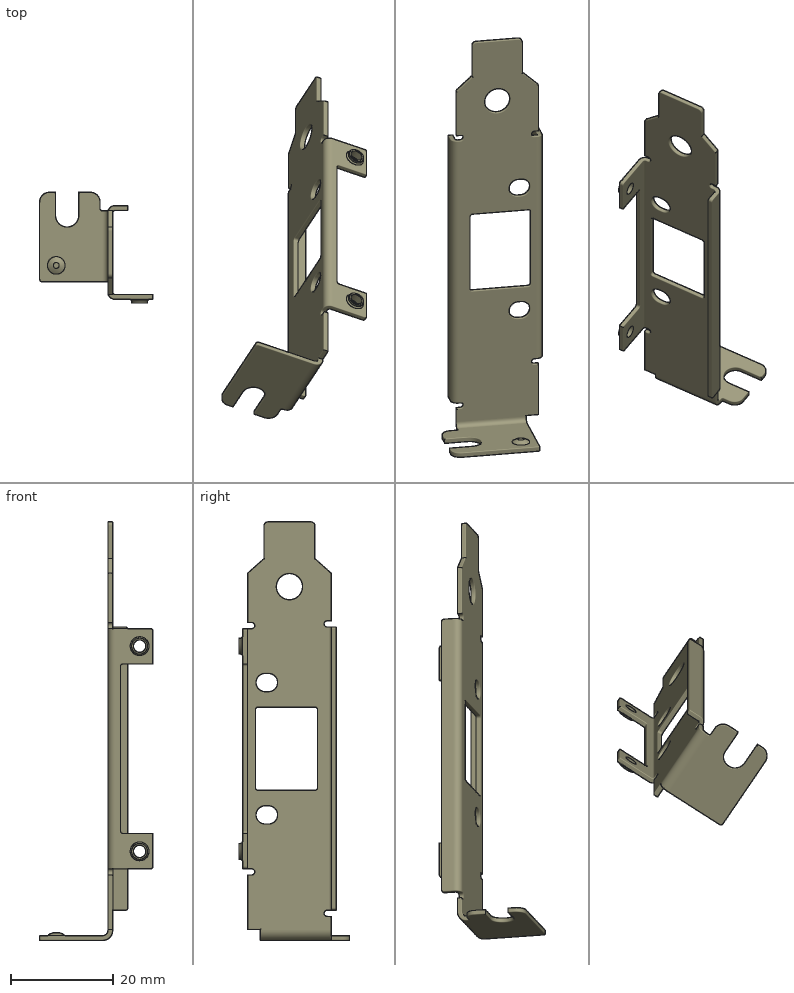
import cadquery as cq
import math

HEIGHT = 81.9
SHEET = 1.0
WALL_X = 13.35
WALL_BACK = WALL_X + SHEET
CORNER_RADIUS = 0.5
DIAGONAL = math.sqrt(0.5)
TOLERANCE = 0.01
EDGE_ROUND = 0.2

SHOULDER_HALF = 8.2
TONGUE_HALF = 5.0
WALL_BOTTOM_Z = 2.1
TONGUE_RADIUS = 0.8
SHOULDER_Z = 71.8
TONGUE_Z = 74.7
SCREW_HOLE_DIA = 5.1
SCREW_HOLE_Z = 69.2

PORT_Z = 37.5
WINDOW_HEIGHT = 16.2
WINDOW_LEFT = 5.5
WINDOW_RIGHT = -6.6
INDICATOR_Y = -4.4
INDICATOR_OFFSET = 12.95
INDICATOR_LENGTH = 4.2
INDICATOR_HEIGHT = 3.5

FLANGE_HALF = 9.2
FLANGE_BEND = 1.4
FLAT_HALF = FLANGE_HALF - FLANGE_BEND
STIFFENER_Z = (5.9, 61.35)
STIFFENER_END_X = 17.3
MOUNT_Z = (14.0, 61.0)
MOUNT_EDGE_X = 15.8
TAB_END_X = 22.2
TAB_HEIGHT = 7.0
RELIEF_WIDTH = 1.15
RELIEF_DEPTH = 1.4

COLLAR_X = 19.6
COLLAR_OFFSET = 20.1
COLLAR_HOLE_DIA = 2.4
COLLAR_DIA = 3.1
COLLAR_BASE_DIA = 3.7
COLLAR_HEIGHT = 0.7
COLLAR_TAPER_HEIGHT = 0.3

FOOT_BEND = 2.0
FOOT_BACK_Y = 11.8
FOOT_FRONT_Y = -5.7
FOOT_EAR_X = 11.9
EAR_RADIUS = 2.0
EAR_NECK_RADIUS = 0.3
SLOT_X = 5.4
SLOT_WIDTH = 4.5
SLOT_END_Y = 5.0
DIMPLE_X = 3.3
DIMPLE_Y = -2.5
DIMPLE_DIA = 3.4
DIMPLE_TOP_DIA = 1.15
DIMPLE_MID_DIA = 2.45
DIMPLE_MID_HEIGHT = 0.3
DIMPLE_HEIGHT = 0.6


def box(x_range, y_range, z_range):
    """Box between the given limits."""
    sizes = [high - low for low, high in (x_range, y_range, z_range)]
    corner = (x_range[0], y_range[0], z_range[0])
    return cq.Workplane("XY").box(*sizes, centered=False).translate(corner)


def wall_plane():
    """YZ plane on the outer face of the wall."""
    return cq.Workplane("YZ", origin=(WALL_X, 0, 0))


def make_wall():
    """Flat wall with the tapered shoulders and the narrow upper tongue."""
    outline = [
        (-SHOULDER_HALF, WALL_BOTTOM_Z),
        (FOOT_FRONT_Y, WALL_BOTTOM_Z),
        (FOOT_FRONT_Y, FOOT_BEND),
        (SHOULDER_HALF, FOOT_BEND),
        (SHOULDER_HALF, SHOULDER_Z),
        (TONGUE_HALF, TONGUE_Z),
        (TONGUE_HALF, HEIGHT),
        (-TONGUE_HALF, HEIGHT),
        (-TONGUE_HALF, TONGUE_Z),
        (-SHOULDER_HALF, SHOULDER_Z),
    ]
    wall = wall_plane().polyline(outline).close().extrude(SHEET)
    return wall.edges("|X and >Z").fillet(TONGUE_RADIUS)


def make_openings():
    """Screw hole, port window and indicator openings through the wall."""
    openings = wall_plane().center(0, SCREW_HOLE_Z).circle(SCREW_HOLE_DIA / 2).extrude(SHEET)
    window_y = (WINDOW_RIGHT, WINDOW_LEFT)
    window_z = (PORT_Z - WINDOW_HEIGHT / 2, PORT_Z + WINDOW_HEIGHT / 2)
    window = box((WALL_X, WALL_BACK), window_y, window_z)
    openings = openings.union(window.edges("|X").fillet(CORNER_RADIUS))
    indicators = (
        wall_plane()
        .pushPoints([(INDICATOR_Y, PORT_Z + side * INDICATOR_OFFSET) for side in (-1, 1)])
        .slot2D(INDICATOR_LENGTH, INDICATOR_HEIGHT)
        .extrude(SHEET)
    )
    return openings.union(indicators)


def make_flange_strip(side, z_range, end_x):
    """Bend and leaf of one flange, starting at the flat part of the wall."""
    bottom, top = z_range
    inside_bend = FLANGE_BEND - SHEET
    bend_x = WALL_X + FLANGE_BEND
    flat_y = side * FLAT_HALF
    outer_y = side * FLANGE_HALF
    inner_y = side * (FLANGE_HALF - SHEET)
    return (
        cq.Workplane("XY", origin=(0, 0, bottom))
        .moveTo(WALL_X, flat_y)
        .threePointArc(
            (bend_x - FLANGE_BEND * DIAGONAL, flat_y + side * FLANGE_BEND * DIAGONAL),
            (bend_x, outer_y),
        )
        .lineTo(end_x, outer_y)
        .lineTo(end_x, inner_y)
        .lineTo(bend_x, inner_y)
        .threePointArc(
            (bend_x - inside_bend * DIAGONAL, flat_y + side * inside_bend * DIAGONAL),
            (WALL_BACK, flat_y),
        )
        .close()
        .extrude(top - bottom)
    )


def make_stiffening_flange():
    strip = make_flange_strip(1, STIFFENER_Z, STIFFENER_END_X)
    return strip.edges("|Y and >X").fillet(CORNER_RADIUS)


def make_mounting_flange():
    """Flange cut back between its two mounting tabs."""
    strip = make_flange_strip(-1, MOUNT_Z, TAB_END_X)
    strip = strip.edges("|Y and >X").fillet(CORNER_RADIUS)
    gap_z = (MOUNT_Z[0] + TAB_HEIGHT, MOUNT_Z[1] - TAB_HEIGHT)
    gap = box((MOUNT_EDGE_X, TAB_END_X), (-FLANGE_HALF, -FLAT_HALF), gap_z)
    gap = gap.edges("|Y and <X").fillet(CORNER_RADIUS)
    return strip.cut(gap)


def make_flange_clearance(side, z_range):
    """Edge of the wall replaced by a flange, with a round-ended relief at each end."""
    bottom, top = z_range
    edge_y = sorted((side * FLAT_HALF, side * SHOULDER_HALF))
    clearance = box((WALL_X, WALL_BACK), edge_y, z_range)
    round_y = side * (SHOULDER_HALF - RELIEF_DEPTH + RELIEF_WIDTH / 2)
    mouth_y = sorted((round_y, side * SHOULDER_HALF))
    for relief_bottom in (bottom - RELIEF_WIDTH, top):
        relief_z = (relief_bottom, relief_bottom + RELIEF_WIDTH)
        mouth = box((WALL_X, WALL_BACK), mouth_y, relief_z)
        center_z = relief_bottom + RELIEF_WIDTH / 2
        blind_end = wall_plane().center(round_y, center_z).circle(RELIEF_WIDTH / 2).extrude(SHEET)
        clearance = clearance.union(mouth).union(blind_end)
    return clearance


def make_collar(z):
    """Tapered collar on the outside of a mounting tab."""
    base_radius = COLLAR_BASE_DIA / 2
    radius = COLLAR_DIA / 2
    profile = [
        (0, 0),
        (base_radius, 0),
        (radius, COLLAR_TAPER_HEIGHT),
        (radius, COLLAR_HEIGHT),
        (0, COLLAR_HEIGHT),
    ]
    collar = cq.Workplane("XY").polyline(profile).close().revolve(360, (0, 0), (0, 1))
    return collar.mirror("XZ").translate((COLLAR_X, -FLANGE_HALF, z))


def make_collar_hole(z):
    depth = SHEET + COLLAR_HEIGHT
    hole = cq.Workplane("XZ").circle(COLLAR_HOLE_DIA / 2).extrude(depth)
    return hole.translate((COLLAR_X, SHEET - FLANGE_HALF, z))


def make_foot_bend():
    """Quarter bend of the foot with the strip beside it, from the ear to the wall."""
    inside_bend = FOOT_BEND - SHEET
    bend_x = WALL_BACK - FOOT_BEND
    width = SHOULDER_HALF - FOOT_FRONT_Y
    return (
        cq.Workplane("XZ", origin=(0, SHOULDER_HALF, 0))
        .moveTo(FOOT_EAR_X, 0)
        .lineTo(bend_x, 0)
        .threePointArc(
            (bend_x + FOOT_BEND * DIAGONAL, FOOT_BEND * (1 - DIAGONAL)),
            (WALL_BACK, FOOT_BEND),
        )
        .lineTo(WALL_X, FOOT_BEND)
        .threePointArc(
            (bend_x + inside_bend * DIAGONAL, FOOT_BEND - inside_bend * DIAGONAL),
            (bend_x, SHEET),
        )
        .lineTo(FOOT_EAR_X, SHEET)
        .close()
        .extrude(width)
    )


def make_foot_plate():
    """Flat foot with rounded ears either side of the open slot."""
    plate = box((0, FOOT_EAR_X), (FOOT_FRONT_Y, FOOT_BACK_Y), (0, SHEET))
    plate = plate.edges("|Z and >Y").fillet(EAR_RADIUS)
    plate = plate.edges("|Z and <X and <Y").fillet(CORNER_RADIUS)
    slot_center_y = SLOT_END_Y + SLOT_WIDTH / 2
    slot_x = (SLOT_X - SLOT_WIDTH / 2, SLOT_X + SLOT_WIDTH / 2)
    slot_end = cq.Workplane("XY").center(SLOT_X, slot_center_y).circle(SLOT_WIDTH / 2).extrude(SHEET)
    slot = box(slot_x, (slot_center_y, FOOT_BACK_Y), (0, SHEET)).union(slot_end)
    return plate.cut(slot)


def make_foot():
    """Plate and bend joined, with the inside corner beside the ear rounded."""
    foot = make_foot_bend().union(make_foot_plate())
    neck = cq.selectors.NearestToPointSelector((FOOT_EAR_X, SHOULDER_HALF, SHEET / 2))
    return foot.edges("|Z").edges(neck).fillet(EAR_NECK_RADIUS)


def make_dimple():
    """Raised dome with a flat top on the foot."""
    base_radius = DIMPLE_DIA / 2
    top_radius = DIMPLE_TOP_DIA / 2
    profile = (
        cq.Workplane("XZ")
        .lineTo(base_radius, 0)
        .threePointArc((DIMPLE_MID_DIA / 2, DIMPLE_MID_HEIGHT), (top_radius, DIMPLE_HEIGHT))
        .lineTo(0, DIMPLE_HEIGHT)
        .close()
    )
    dimple = profile.revolve(360, (0, 0), (0, 1))
    return dimple.translate((DIMPLE_X, DIMPLE_Y, SHEET))


def is_smooth_joint(face, neighbour, edge):
    """True where two faces run into each other without a corner."""
    point = edge.positionAt(0.5)
    alignment = face.normalAt(point).dot(neighbour.normalAt(point))
    return math.isclose(alignment, 1, abs_tol=TOLERANCE)


def find_rim(sheet, wall_face):
    """Cut edges around one side of the bent sheet, followed from the wall through its bends."""
    faces_beside = {}
    for face in sheet.faces().vals():
        for edge in face.Edges():
            faces_beside.setdefault(edge.hashCode(), []).append(face)
    skin = [wall_face]
    rim = []
    for face in skin:
        for edge in face.Edges():
            neighbour = next(other for other in faces_beside[edge.hashCode()] if not other.isSame(face))
            if not is_smooth_joint(face, neighbour, edge):
                rim.append(edge)
            elif not any(neighbour.isSame(known) for known in skin):
                skin.append(neighbour)
    return rim


def round_cut_edges(sheet):
    """Round the cut edges on both sides of the sheet."""
    for wall_x in (WALL_X, WALL_BACK):
        wall_level = cq.selectors.BoxSelector(
            (wall_x - TOLERANCE, -SHOULDER_HALF, 0),
            (wall_x + TOLERANCE, SHOULDER_HALF, HEIGHT),
        )
        wall_face = sheet.faces("|X").faces(wall_level).val()
        sheet = sheet.newObject(find_rim(sheet, wall_face)).fillet(EDGE_ROUND)
    return sheet


bracket = make_wall().cut(make_openings())
bracket = bracket.cut(make_flange_clearance(1, STIFFENER_Z))
bracket = bracket.cut(make_flange_clearance(-1, MOUNT_Z))
bracket = bracket.union(make_stiffening_flange()).union(make_mounting_flange())
bracket = bracket.union(make_foot()).clean()
bracket = round_cut_edges(bracket)

bracket = bracket.union(make_dimple())
for direction in (-1, 1):
    collar_z = PORT_Z + direction * COLLAR_OFFSET
    bracket = bracket.union(make_collar(collar_z)).cut(make_collar_hole(collar_z))

result = bracket